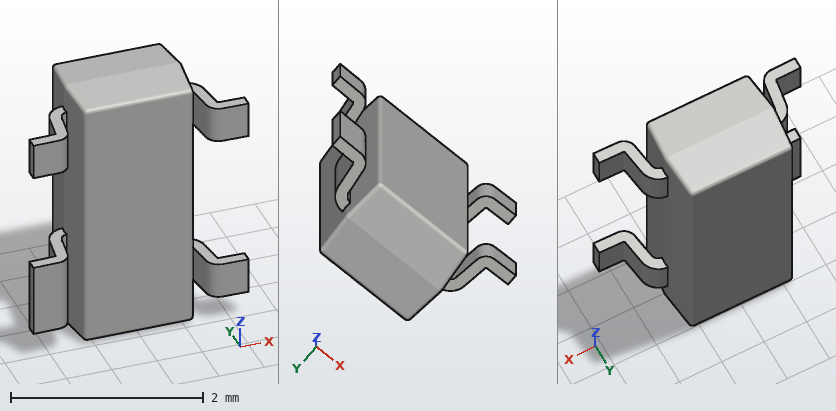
import cadquery as cq
import math


body_length = 2.92
body_width = 1.296
body_depth = 0.995
draft_angle = 5.0
edge_radius = 0.047

lead_span = 2.38
overall_depth = 1.05
lead_thickness = 0.128
lead_root = 0.525
upper_bend_x = 0.64
upper_inner_radius = 0.088
lower_inner_radius = 0.015
leg_angle = 8.0
foot_angle = 1.0

lead_width = 0.4
wide_lead_width = 0.815
lead_offset = 0.958
lead_outer_edge = lead_offset + lead_width / 2
wide_lead_offset = lead_outer_edge - wide_lead_width / 2


def half_body(side):
    """One drafted, rounded half of the body, on the +Y (1) or -Y (-1) side."""
    parting_plane = cq.Plane(origin=(0, 0, 0), xDir=(1, 0, 0), normal=(0, side, 0))
    half = (
        cq.Workplane(parting_plane)
        .rect(body_width, body_length)
        .extrude(body_depth / 2, taper=draft_angle)
    )
    parting_face = "<Y" if side > 0 else ">Y"
    return half.edges("not(" + parting_face + ")").fillet(edge_radius)


def polar(center, radius, angle):
    """Point at a radius and an angle in degrees around a centre."""
    turn = math.radians(angle)
    return (center[0] + radius * math.cos(turn), center[1] + radius * math.sin(turn))


def lead_profile():
    """Closed gull-wing outline in the XY plane for a lead on the +X side."""
    half_thickness = lead_thickness / 2
    upper_outer_radius = upper_inner_radius + lead_thickness
    lower_outer_radius = lower_inner_radius + lead_thickness
    tip_x = lead_span / 2
    tip_bottom = (tip_x, body_depth / 2 - overall_depth)

    leg_heading = leg_angle - 90
    foot_normal = 270 - foot_angle
    upper_start, upper_end = 90, leg_angle
    lower_start, lower_end = 180 + leg_angle, foot_normal
    upper_middle = (upper_start + upper_end) / 2
    lower_middle = (lower_start + lower_end) / 2

    upper_center = (upper_bend_x, -half_thickness - upper_inner_radius)
    no_leg_center = polar(upper_center, upper_inner_radius + lower_outer_radius, leg_angle)
    normal_x, normal_y = polar((0, 0), 1, foot_normal)
    tip_distance = (
        (tip_bottom[0] - no_leg_center[0]) * normal_x
        + (tip_bottom[1] - no_leg_center[1]) * normal_y
    )
    leg_drop_rate = math.cos(math.radians(foot_normal - leg_heading))
    leg_length = (tip_distance - lower_outer_radius) / leg_drop_rate
    lower_center = polar(no_leg_center, leg_length, leg_heading)

    tip_top = (tip_x, tip_bottom[1] + lead_thickness / math.cos(math.radians(foot_angle)))
    return (
        cq.Workplane("XY")
        .moveTo(lead_root, half_thickness)
        .lineTo(*polar(upper_center, upper_outer_radius, upper_start))
        .threePointArc(
            polar(upper_center, upper_outer_radius, upper_middle),
            polar(upper_center, upper_outer_radius, upper_end),
        )
        .lineTo(*polar(lower_center, lower_inner_radius, lower_start))
        .threePointArc(
            polar(lower_center, lower_inner_radius, lower_middle),
            polar(lower_center, lower_inner_radius, lower_end),
        )
        .lineTo(*tip_top)
        .lineTo(*tip_bottom)
        .lineTo(*polar(lower_center, lower_outer_radius, lower_end))
        .threePointArc(
            polar(lower_center, lower_outer_radius, lower_middle),
            polar(lower_center, lower_outer_radius, lower_start),
        )
        .lineTo(*polar(upper_center, upper_inner_radius, upper_end))
        .threePointArc(
            polar(upper_center, upper_inner_radius, upper_middle),
            polar(upper_center, upper_inner_radius, upper_start),
        )
        .lineTo(lead_root, -half_thickness)
        .close()
    )


def lead(side, z_center, width):
    """Gull-wing lead on the +X (1) or -X (-1) side, centred on a height."""
    blade = lead_profile().extrude(width / 2, both=True)
    if side < 0:
        blade = blade.mirror("YZ")
    return blade.translate((0, 0, z_center))


leads = [
    (1, lead_offset, lead_width),
    (1, -lead_offset, lead_width),
    (-1, lead_offset, lead_width),
    (-1, -wide_lead_offset, wide_lead_width),
]

result = half_body(1).union(half_body(-1))
for side, z_center, width in leads:
    result = result.union(lead(side, z_center, width))